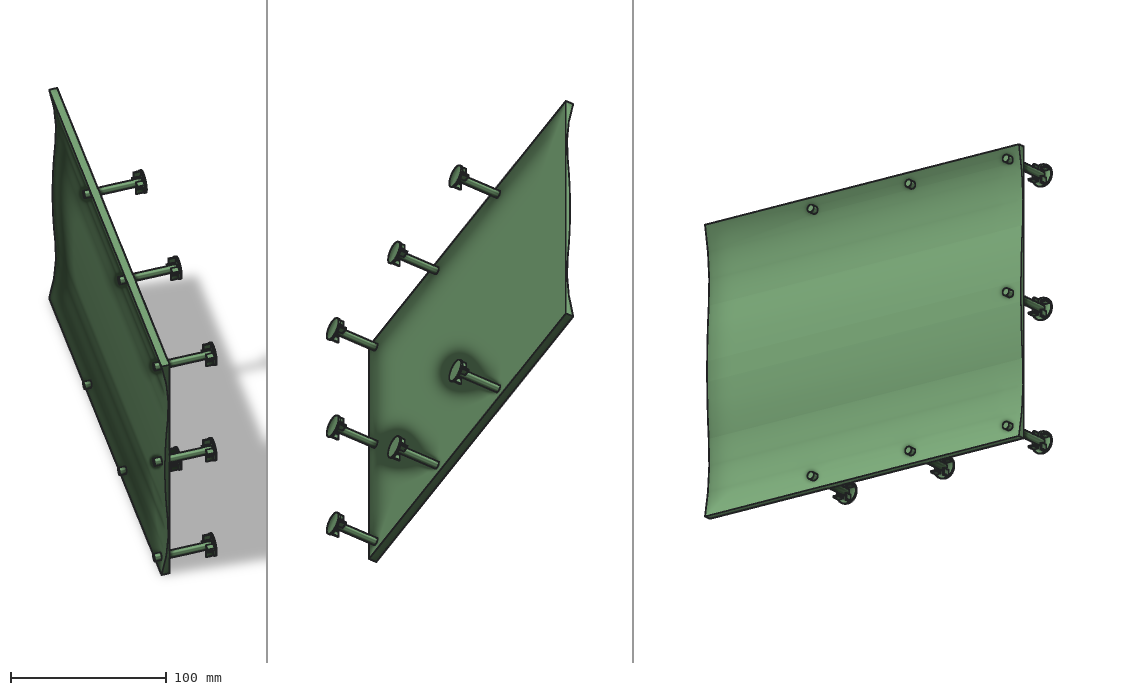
import cadquery as cq
import math

panel_width = 250.0
panel_height = 200.0
edge_thickness = 5.5
middle_thickness = 3.2
thinnest = 0.9
flat_half_height = 7.1
hollow_height = 60.0
blend_height = 45.6

pin_diameter = 5.0
pin_length = 40.0
pin_front_reach = 8.0
pin_pitch = 77.75
pin_inset = 8.5
pins_per_row = 3

head_diameter = 15.0
head_length = 6.0
disc_thickness = 1.2
rib_thickness = 1.2
rib_count = 4

half_height = panel_height / 2
pin_radius = pin_diameter / 2
head_radius = head_diameter / 2

last_pin_x = panel_width / 2 - pin_inset
row_z = half_height - pin_inset
row_xs = [last_pin_x - i * pin_pitch for i in range(pins_per_row)]
pin_places = [(x, z) for z in (row_z, -row_z) for x in row_xs]
pin_places.append((last_pin_x, 0.0))


def hollow_front(z):
    """Y of the concave arc that runs through the thinnest line to the panel edge."""
    rise = edge_thickness - thinnest
    run = half_height - hollow_height
    radius = (run**2 + rise**2) / (2 * rise)
    return -thinnest - radius + math.sqrt(radius**2 - (z - hollow_height) ** 2)


def swell_front(z):
    """Y of the convex arc, centred at mid height, from the flat strip to the hollow."""
    drop = middle_thickness + hollow_front(blend_height)
    blend_depth = (blend_height**2 - flat_half_height**2 - drop**2) / (2 * drop)
    radius = math.hypot(blend_depth, blend_height)
    return hollow_front(blend_height) + blend_depth - math.sqrt(radius**2 - z**2)


def make_panel():
    hollow_mid_z = (half_height + blend_height) / 2
    swell_mid_z = (blend_height + flat_half_height) / 2
    hollow_mid_y = hollow_front(hollow_mid_z)
    swell_mid_y = swell_front(swell_mid_z)
    blend_y = hollow_front(blend_height)

    panel = (
        cq.Workplane("YZ")
        .moveTo(0, -half_height)
        .lineTo(-edge_thickness, -half_height)
        .threePointArc((hollow_mid_y, -hollow_mid_z), (blend_y, -blend_height))
        .threePointArc((swell_mid_y, -swell_mid_z), (-middle_thickness, -flat_half_height))
        .lineTo(-middle_thickness, flat_half_height)
        .threePointArc((swell_mid_y, swell_mid_z), (blend_y, blend_height))
        .threePointArc((hollow_mid_y, hollow_mid_z), (-edge_thickness, half_height))
        .lineTo(0, half_height)
        .close()
        .extrude(panel_width / 2, both=True)
    )
    pin_holes = (
        cq.Workplane("XZ")
        .pushPoints(pin_places)
        .circle(pin_radius)
        .extrude(edge_thickness)
    )
    return panel.cut(pin_holes)


def rim_point(x):
    """Point on the upper half of the head's rim."""
    return (x, math.sqrt(head_radius**2 - x**2))


def make_rib(front_y, length):
    """The rib above the shank: it starts level with the shank's top and ends on the rim."""
    inner_x = -pin_radius
    outer_x = inner_x - rib_thickness
    return (
        cq.Workplane("XZ", origin=(0, front_y, 0))
        .moveTo(inner_x, pin_radius)
        .lineTo(*rim_point(inner_x))
        .threePointArc(rim_point((inner_x + outer_x) / 2), rim_point(outer_x))
        .lineTo(outer_x, pin_radius)
        .close()
        .extrude(-length)
    )


def make_pin():
    """A pin along Y with its front tip at the origin and its head at the far end."""
    disc_front = pin_length - disc_thickness
    shank = cq.Workplane("XZ").circle(pin_radius).extrude(-disc_front)
    disc = cq.Workplane("XZ", origin=(0, disc_front, 0)).circle(head_radius).extrude(-disc_thickness)
    pin = shank.union(disc)

    rib = make_rib(pin_length - head_length, head_length - disc_thickness)
    for i in range(rib_count):
        pin = pin.union(rib.rotate((0, 0, 0), (0, 1, 0), i * 360 / rib_count))
    return pin


panel = make_panel()
pin = make_pin()
pins = [pin.translate((x, -pin_front_reach, z)) for x, z in pin_places]

result = cq.Compound.makeCompound([panel.val(), *[p.val() for p in pins]])